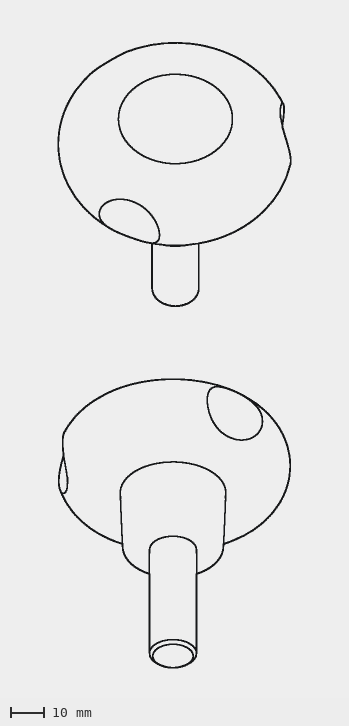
import cadquery as cq
import math

TOTAL_HEIGHT = 83.0
HUB_BOTTOM = 39.0
HEAD_BOTTOM = 60.0

HEAD_DIAMETER = 70.0
RING_SECTION_RADIUS = 13.0
DISC_RADIUS = 17.0
HEAD_EDGE_FILLET = 4.0

HUB_BOTTOM_RADIUS = 15.0
HUB_TAPER_DEGREES = 2.0
HUB_EDGE_FILLET = 1.5

STUD_DIAMETER = 14.0
STUD_CHAMFER = 1.0

SCALLOP_COUNT = 3
SCALLOP_DIAMETER = 50.0
SCALLOP_FLOOR_RADIUS = 31.5
FIRST_SCALLOP_ANGLE = -90.0

RING_RADIUS = HEAD_DIAMETER / 2 - RING_SECTION_RADIUS
RING_CENTER_HEIGHT = TOTAL_HEIGHT - RING_SECTION_RADIUS


def ring_half_chord(offset):
    """Half chord of the round ring section at a given distance from its center."""
    return math.sqrt(RING_SECTION_RADIUS**2 - offset**2)


def make_head():
    """Revolve the flat disc and the round ring section, then soften the lower edge."""
    disc_height = RING_CENTER_HEIGHT + ring_half_chord(RING_RADIUS - DISC_RADIUS)
    bottom_radius = RING_RADIUS + ring_half_chord(RING_CENTER_HEIGHT - HEAD_BOTTOM)
    head = (
        cq.Workplane("XZ")
        .moveTo(0, HEAD_BOTTOM)
        .lineTo(bottom_radius, HEAD_BOTTOM)
        .threePointArc((HEAD_DIAMETER / 2, RING_CENTER_HEIGHT), (DISC_RADIUS, disc_height))
        .lineTo(0, disc_height)
        .close()
        .revolve(360, (0, 0, 0), (0, 1, 0))
    )
    return head.faces("<Z").edges().fillet(HEAD_EDGE_FILLET)


def make_hub():
    """Tapered hub, with a rounded lower edge."""
    height = HEAD_BOTTOM - HUB_BOTTOM
    hub = (
        cq.Workplane("XY", origin=(0, 0, HUB_BOTTOM))
        .circle(HUB_BOTTOM_RADIUS)
        .extrude(height, taper=-HUB_TAPER_DEGREES)
    )
    return hub.faces("<Z").edges().fillet(HUB_EDGE_FILLET)


def make_stud():
    """Plain round stud with a chamfered tip."""
    stud = cq.Workplane("XY").circle(STUD_DIAMETER / 2).extrude(HUB_BOTTOM)
    return stud.faces("<Z").chamfer(STUD_CHAMFER)


def make_scallops():
    """Upright cylinders, evenly spaced, that cut the finger scallops."""
    center_distance = SCALLOP_FLOOR_RADIUS + SCALLOP_DIAMETER / 2
    return (
        cq.Workplane("XY", origin=(0, 0, HEAD_BOTTOM))
        .polarArray(center_distance, FIRST_SCALLOP_ANGLE, 360, SCALLOP_COUNT)
        .circle(SCALLOP_DIAMETER / 2)
        .extrude(TOTAL_HEIGHT - HEAD_BOTTOM)
    )


head = make_head().cut(make_scallops())
result = head.union(make_hub()).union(make_stud())